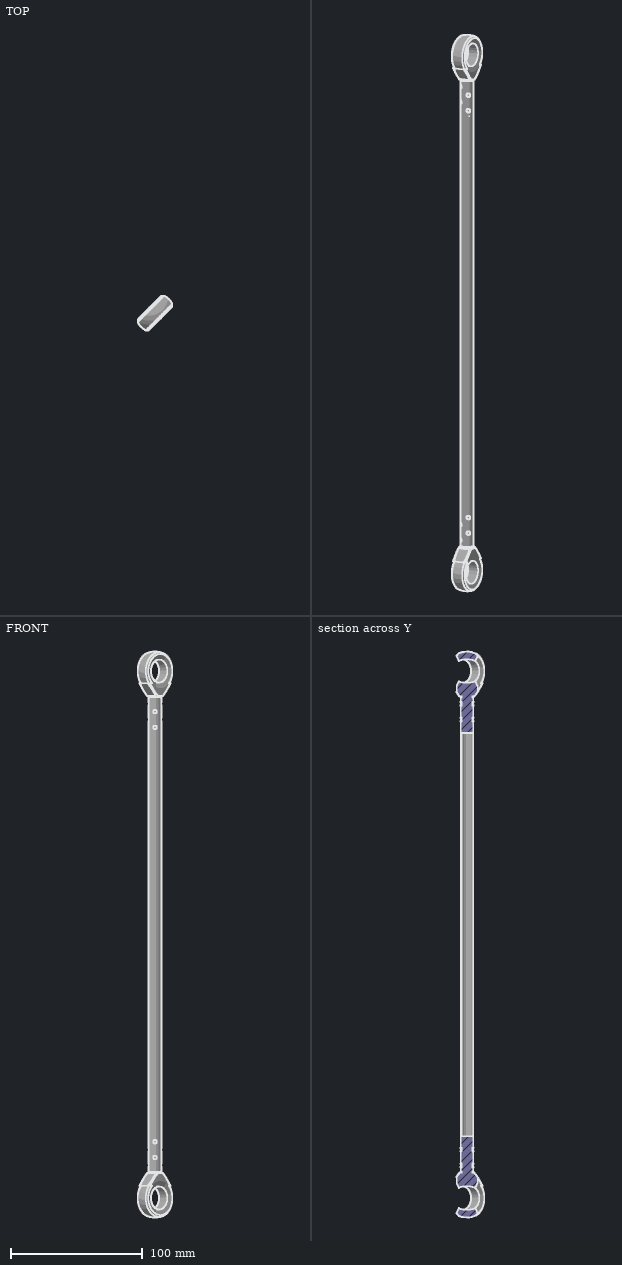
import cadquery as cq
import math

eye_spacing = 400.0
eye_diameter = 30.0
crown_width = 8.86
eye_width = 11.6
bore_diameter = 17.5
bore_length = 9.0
eye_plane_angle = 45.0

neck_length = 19.2
neck_end_diameter = 12.0
neck_flank_width = 7.6
neck_cone_slope = 0.65
neck_end_height = 0.5

tube_diameter = 10.0
stud_diameter = 8.0
tube_gap = 0.8
stud_reach = 47.0

wall_hole_diameter = 2.8
wall_hole_pitch = 6.0
wall_hole_count = 4
first_wall_hole_reach = 24.75

eye_radius = eye_diameter / 2
half_crown = crown_width / 2
rim_radius = math.sqrt(eye_radius**2 - half_crown**2)
bore_radius = bore_diameter / 2
half_bore = bore_length / 2
half_width = eye_width / 2
rim_chamfer = half_width - half_crown
face_radius = rim_radius - rim_chamfer
half_spacing = eye_spacing / 2
tube_half_length = half_spacing - neck_length - tube_gap


def ring():
    """Eye ring, a closed profile turned about Y."""
    profile = (
        cq.Workplane("XY")
        .moveTo(bore_radius, -half_bore)
        .lineTo(face_radius, -half_width)
        .lineTo(rim_radius, -half_crown)
        .threePointArc((eye_radius, 0), (rim_radius, half_crown))
        .lineTo(face_radius, half_width)
        .lineTo(bore_radius, half_bore)
        .close()
    )
    return profile.revolve(360, (0, 0, 0), (0, 1, 0))


def neck():
    """Cone with flanks tangent to the eye and a short round end, kept clear of the dished faces."""
    half_flank = neck_flank_width / 2
    corner_distance = math.hypot(half_flank, neck_length)
    tangent_angle = math.atan2(-neck_length, half_flank) + math.acos(eye_radius / corner_distance)
    tangent_x = eye_radius * math.cos(tangent_angle)
    tangent_z = eye_radius * math.sin(tangent_angle)
    wedge = (
        cq.Workplane("XZ")
        .polyline([
            (half_flank, -neck_length),
            (tangent_x, tangent_z),
            (-tangent_x, tangent_z),
            (-half_flank, -neck_length),
        ])
        .close()
        .extrude(half_width, both=True)
    )
    end_radius = neck_end_diameter / 2
    cone = (
        cq.Workplane("XZ")
        .polyline([
            (0, -neck_length),
            (end_radius, -neck_length),
            (end_radius + neck_cone_slope * neck_length, 0),
            (0, 0),
        ])
        .close()
        .revolve(360, (0, 0, 0), (0, 1, 0))
    )
    clearance = cq.Workplane("XZ").circle(face_radius).extrude(half_width, both=True)
    end = cq.Workplane("XY").workplane(offset=-neck_length).circle(end_radius).extrude(neck_end_height)
    return wedge.intersect(cone).union(end).cut(clearance)


def stud():
    """Stud below the neck, a snug fit inside the tube."""
    length = stud_reach - neck_length
    return cq.Workplane("XY").workplane(offset=-stud_reach).circle(stud_diameter / 2).extrude(length)


def eye_end():
    """One eye centred on the origin, with its neck and stud pointing down."""
    body = ring().union(neck()).union(stud())
    return body.rotate((0, 0, 0), (0, 0, 1), eye_plane_angle)


def tube():
    """Tube centred on the origin, with a row of cross holes near both ends."""
    body = (
        cq.Workplane("XY")
        .circle(tube_diameter / 2)
        .circle(stud_diameter / 2)
        .extrude(tube_half_length, both=True)
    )
    for index in range(wall_hole_count):
        height = half_spacing - first_wall_hole_reach - index * wall_hole_pitch
        plane = "YZ" if index % 2 == 0 else "XZ"
        for z in (height, -height):
            hole = cq.Workplane(plane).center(0, z).circle(wall_hole_diameter / 2)
            body = body.cut(hole.extrude(tube_diameter, both=True))
    return body


upper_end = eye_end().translate((0, 0, half_spacing))
lower_end = upper_end.mirror("XY")
result = tube().union(upper_end).union(lower_end).solids()